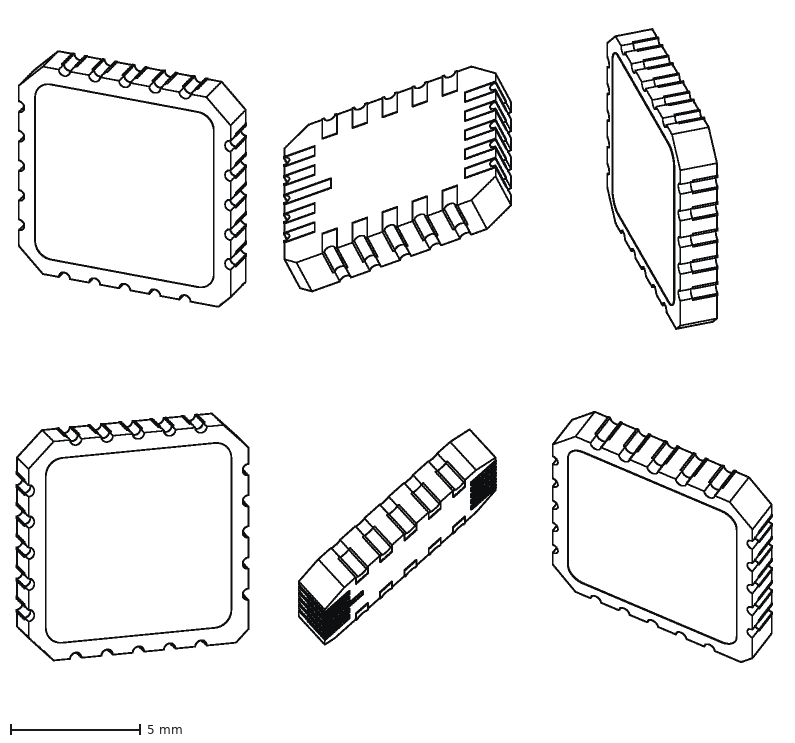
import cadquery as cq


side_length = 8.92
total_thickness = 1.55

lid_thickness = 0.03
pad_thickness = 0.03
plating_thickness = 0.01

body_side = side_length - 2 * plating_thickness
body_thickness = total_thickness - lid_thickness - pad_thickness
corner_chamfer = 1.02
index_chamfer = 0.51

front_y = -total_thickness / 2
body_front_y = front_y + lid_thickness
body_back_y = body_front_y + body_thickness

lid_side = 7.51
lid_corner_radius = 0.67

contacts_per_side = 5
contact_pitch = 1.27
notch_radius = 0.23
plated_notch_radius = notch_radius - plating_thickness
plating_depth = 1.0
pad_width = 0.62
pad_length = 1.29
index_pad_length = 1.98
side_turns = (0, 90, 180, 270)
index_turn = 90
middle_contact = contacts_per_side // 2


def prism(outline, start_y, thickness):
    """Extrude an XZ outline from start_y toward +Y."""
    return outline.extrude(-thickness).translate((0, start_y, 0))


def make_body():
    """Square plate with chamfered corners; the small index chamfer is at +X, -Z."""
    half = body_side / 2
    large = half - corner_chamfer
    small = half - index_chamfer
    corners = [
        (-large, half),
        (large, half),
        (half, large),
        (half, -small),
        (small, -half),
        (-large, -half),
        (-half, -large),
        (-half, large),
    ]
    return prism(cq.Workplane("XZ").polyline(corners).close(), body_front_y, body_thickness)


def make_lid():
    """Thin square plate with rounded corners on the front of the body."""
    lid = prism(cq.Workplane("XZ").rect(lid_side, lid_side), front_y, lid_thickness)
    return lid.edges("|Y").fillet(lid_corner_radius)


def make_notch(radius):
    """Cutter for a half-round groove through the whole thickness, at the middle of the top edge."""
    circle = cq.Workplane("XZ").center(0, body_side / 2).circle(radius)
    return prism(circle, front_y, total_thickness)


def make_contact_block(length, start_y, thickness):
    """Block of pad width reaching inward from the outer edge at the middle of the top side."""
    outline = cq.Workplane("XZ").center(0, (side_length - length) / 2).rect(pad_width, length)
    return prism(outline, start_y, thickness)


def make_contact(length):
    """Edge plating that lines the notch, joined to a flat pad on the back."""
    edge_plating = make_contact_block(2 * notch_radius, body_back_y - plating_depth, plating_depth)
    pad = make_contact_block(length, body_back_y, pad_thickness)
    return edge_plating.union(pad).cut(make_notch(plated_notch_radius))


def place_contact(shape, turn, number):
    """Slide a shape along the top edge to its contact number, then turn it to its side."""
    offset = (number - middle_contact) * contact_pitch
    return shape.translate((offset, 0, 0)).rotate((0, 0, 0), (0, 1, 0), turn)


result = make_body().union(make_lid())
for turn in side_turns:
    for number in range(contacts_per_side):
        is_index = turn == index_turn and number == middle_contact
        contact = make_contact(index_pad_length if is_index else pad_length)
        result = result.cut(place_contact(make_notch(notch_radius), turn, number))
        result = result.union(place_contact(contact, turn, number))